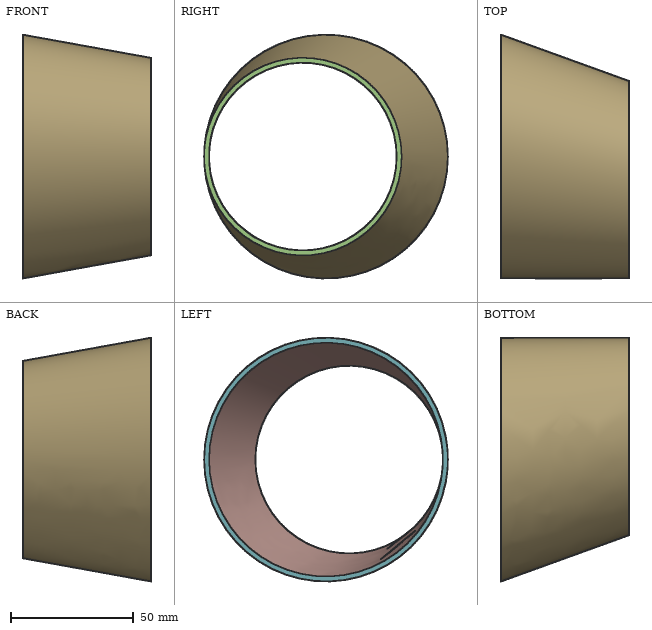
import cadquery as cq

length = 52.5
large_diameter = 100.0
small_diameter = 81.0
wall = 2.1

small_end_offset = (small_diameter - large_diameter) / 2


def tapered_body(inset):
    """Solid loft between the two end circles, each reduced radially by inset."""
    return (
        cq.Workplane("YZ")
        .circle(large_diameter / 2 - inset)
        .workplane(offset=length)
        .center(small_end_offset, 0)
        .circle(small_diameter / 2 - inset)
        .loft(ruled=True)
    )


result = tapered_body(0).cut(tapered_body(wall))